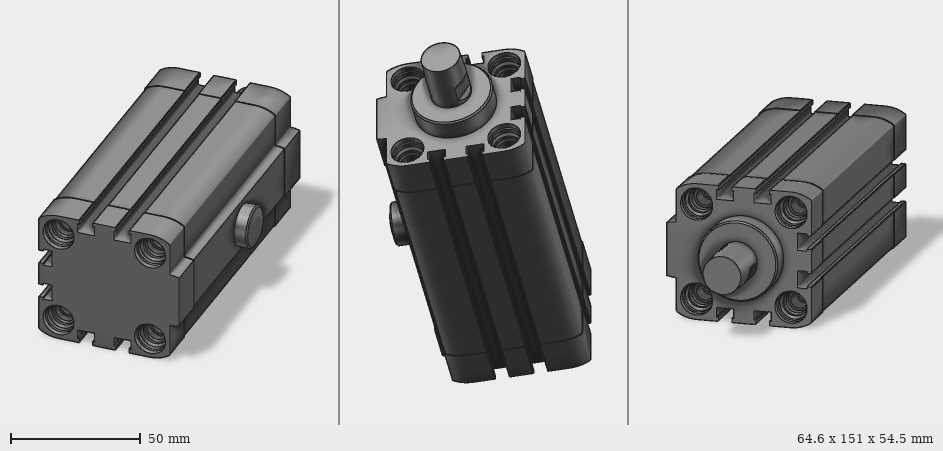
import cadquery as cq
import math


total_length = 151.0
housing_length = 122.6
cap_length = 15.1
collar_length = 8.3
rod_start = housing_length + collar_length
rod_length = total_length - rod_start

side = 54.5
half_side = side / 2
tube_inset = 0.3
corner_arc_radius = 14.5
corner_arc_start = 18.9
corner_rounding = 1.2
rail_face = 31.1
rail_half_height = 11.2
rail_root_rounding = 0.5
rail_flank_drop = 0.6

slot_offset = 7.5
slot_depth = 5.6
slot_lip = 1.8
slot_mouth = 5.5
slot_width = 7.0
slot_rounding = 0.5
slot_mouth_chamfer = 0.3

collar_diameter = 32.2
collar_chamfer = 0.6

hole_offset = 19.0
through_diameter = 5.0
hole_profile = [
    (12.8, 0),
    (12.8, 2.3),
    (12.0, 2.7),
    (12.0, 4.5),
    (10.0, 5.5),
    (10.0, 6.8),
    (8.6, 7.5),
    (8.6, 10.5),
    (6.6, 10.5),
    (6.6, 18.1),
    (through_diameter, 18.1),
]

rod_diameter = 16.0
rod_tip_diameter = 15.3
rod_tip_length = 9.7
flat_across = 13.0
flat_length = 6.3
flat_angle = 30.0
flat_cut_depth = 3.0

button_diameter = 17.0
button_y = 64.3
button_chamfer = 0.6
button_tip_diameter = 8.6
button_shoulder = 4.8
total_width = 64.6
button_height = total_width - half_side - rail_face


def section_plane(y):
    """Workplane at the given Y whose local axes are X and Z. A negative extrusion goes to +Y."""
    return cq.Workplane("XZ", origin=(0, y, 0))


def disc(y, diameter, length):
    """Cylinder on the Y axis from the given Y towards +Y."""
    return section_plane(y).circle(diameter / 2).extrude(-length)


def lengthwise_edges_at(body, x):
    """Edges along Y whose distance from the plane X = 0 is x."""
    return body.edges("|Y").filter(lambda edge: math.isclose(abs(edge.Center().x), x, abs_tol=0.0002))


def rail_block(y, length, edge, inset):
    """Raised rail on the +X side, with rounded roots and slightly arched flanks."""
    face = rail_face - inset
    root_height = rail_half_height - inset
    face_height = root_height - rail_flank_drop
    flank_start = edge + rail_root_rounding
    flank_middle = (flank_start + face) / 2
    middle_height = root_height - rail_flank_drop / 4
    side_height = root_height + rail_root_rounding
    root_middle_step = rail_root_rounding * (1 - math.sqrt(0.5))
    root_middle_x = edge + root_middle_step
    root_middle_height = root_height + root_middle_step
    return (
        section_plane(y)
        .moveTo(0, side_height)
        .lineTo(edge, side_height)
        .threePointArc((root_middle_x, root_middle_height), (flank_start, root_height))
        .threePointArc((flank_middle, middle_height), (face, face_height))
        .lineTo(face, -face_height)
        .threePointArc((flank_middle, -middle_height), (flank_start, -root_height))
        .threePointArc((root_middle_x, -root_middle_height), (edge, -side_height))
        .lineTo(0, -side_height)
        .close()
        .extrude(-length)
    )


def slot_cutter(y, length, edge):
    """T-slot with a chamfered mouth, centred on X = 0 and opening at the face Z = edge."""
    half_mouth = slot_mouth / 2
    flare = half_mouth + slot_mouth_chamfer
    chamber_height = slot_depth - slot_lip
    chamber_top = half_side - slot_lip
    mouth = (
        section_plane(y)
        .polyline([
            (-flare, edge),
            (-half_mouth, edge - slot_mouth_chamfer),
            (-half_mouth, chamber_top),
            (half_mouth, chamber_top),
            (half_mouth, edge - slot_mouth_chamfer),
            (flare, edge),
        ])
        .close()
        .extrude(-length)
    )
    chamber = (
        section_plane(y)
        .center(0, chamber_top - chamber_height / 2)
        .rect(slot_width, chamber_height)
        .extrude(-length)
        .edges("|Y and <Z").fillet(slot_rounding)
    )
    return mouth.union(chamber)


def housing_piece(y, length, inset):
    """One length of the housing with its rail and slots, its outline moved inwards by inset."""
    edge = half_side - inset
    radius = corner_arc_radius - inset

    def arc_height(x):
        run = x - corner_arc_start
        return edge - radius + math.sqrt(radius ** 2 - run ** 2)

    arc_middle = (corner_arc_start + edge) / 2
    piece = (
        section_plane(y)
        .moveTo(-corner_arc_start, edge)
        .lineTo(corner_arc_start, edge)
        .threePointArc((arc_middle, arc_height(arc_middle)), (edge, arc_height(edge)))
        .lineTo(edge, -arc_height(edge))
        .threePointArc((arc_middle, -arc_height(arc_middle)), (corner_arc_start, -edge))
        .lineTo(-corner_arc_start, -edge)
        .threePointArc((-arc_middle, -arc_height(arc_middle)), (-edge, -arc_height(edge)))
        .lineTo(-edge, arc_height(edge))
        .threePointArc((-arc_middle, arc_height(arc_middle)), (-corner_arc_start, edge))
        .close()
        .extrude(-length)
    )
    piece = lengthwise_edges_at(piece, edge).fillet(corner_rounding)
    piece = piece.union(rail_block(y, length, edge, inset))
    slot = slot_cutter(y, length, edge)
    for face_angle in (0, 180, -90):
        for offset in (-slot_offset, slot_offset):
            placed = slot.translate((offset, 0, 0)).rotate((0, 0, 0), (0, 1, 0), face_angle)
            piece = piece.cut(placed)
    return piece


def screw_hole():
    """Through hole along the Y axis, widening in steps towards both end faces."""
    front = [(diameter / 2, depth) for diameter, depth in hole_profile]
    back = [(radius, housing_length - depth) for radius, depth in reversed(front)]
    return (
        cq.Workplane("XY")
        .polyline([(0, 0), *front, *back, (0, housing_length)])
        .close()
        .revolve(360, (0, 0, 0), (0, 1, 0))
    )


def make_housing():
    tube_length = housing_length - 2 * cap_length
    body = housing_piece(0, cap_length, 0)
    body = body.union(housing_piece(cap_length, tube_length, tube_inset))
    body = body.union(housing_piece(housing_length - cap_length, cap_length, 0))

    hole = screw_hole()
    for x in (-hole_offset, hole_offset):
        for z in (-hole_offset, hole_offset):
            body = body.cut(hole.translate((x, 0, z)))

    collar = disc(housing_length, collar_diameter, collar_length).faces(">Y").chamfer(collar_chamfer)
    return body.union(collar)


def make_rod():
    """Rod standing on the collar, tapered at its tip, with two parallel spanner flats."""
    radius = rod_diameter / 2
    shoulder = rod_length - rod_tip_length
    rod = (
        cq.Workplane("XY", origin=(0, rod_start, 0))
        .polyline([
            (0, 0),
            (radius, 0),
            (radius, shoulder),
            (rod_tip_diameter / 2, rod_length),
            (0, rod_length),
        ])
        .close()
        .revolve(360, (0, 0, 0), (0, 1, 0))
    )
    slope = radius - flat_across / 2
    flat_end = shoulder - slope
    flat_start = flat_end - flat_length
    inner = flat_across / 2
    outer = inner + flat_cut_depth
    cutter = (
        cq.Workplane("XY", origin=(0, rod_start, 0))
        .polyline([
            (inner, flat_start),
            (inner, flat_end),
            (outer, flat_end + flat_cut_depth),
            (outer, flat_start - flat_cut_depth),
        ])
        .close()
        .extrude(rod_diameter / 2, both=True)
    )
    for angle in (-flat_angle, 180 - flat_angle):
        rod = rod.cut(cutter.rotate((0, 0, 0), (0, 1, 0), angle))
    return rod


def make_button():
    """Round button standing on the rail, with a chamfered rim and a shallow conical end."""
    radius = button_diameter / 2
    rim_radius = radius - button_chamfer
    rim_height = button_shoulder + button_chamfer
    return (
        cq.Workplane("XY", origin=(rail_face, button_y, 0))
        .polyline([
            (0, 0),
            (0, radius),
            (button_shoulder, radius),
            (rim_height, rim_radius),
            (button_height, button_tip_diameter / 2),
            (button_height, 0),
        ])
        .close()
        .revolve(360, (0, 0, 0), (1, 0, 0))
    )


housing = make_housing()
rod = make_rod()
button = make_button()

result = cq.Compound.makeCompound([housing.val(), rod.val(), button.val()])